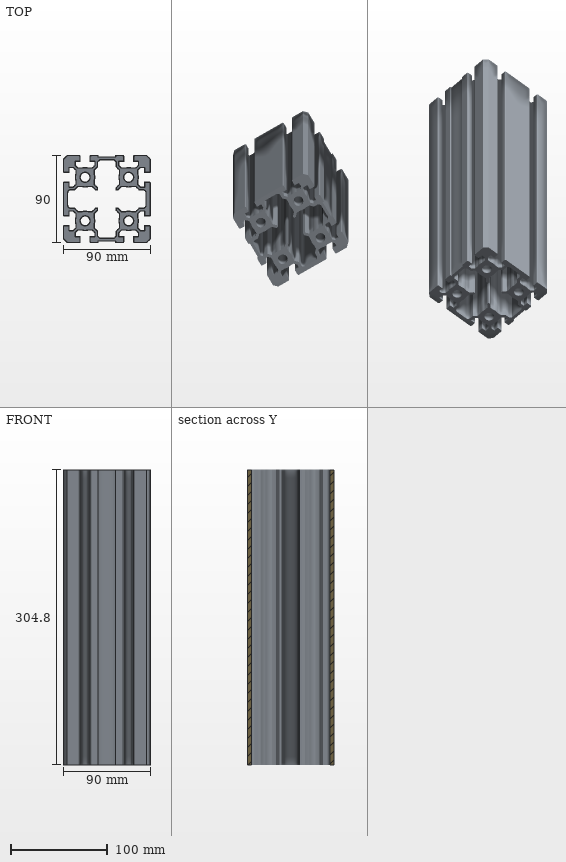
import cadquery as cq

length = 304.8
side = 90.0
corner_chamfer = 4.0

core_side = 19.2
core_bore_diameter = 10.0
bulge_width = 6.5
bulge_height = 0.45

slot_opening = 10.0
slot_mouth_radius = 1.2
lip_thickness = 6.0
slot_inner_width = 20.0
web_half_offset = 2.0

arm_width = 19.0
y_wall_thickness = 4.5
y_corner_chamfer = 2.0
x_wall_thickness = 4.5
x_corner_radius = 3.0

recess_width = 18.0
recess_depth = 1.5

half_side = side / 2
core_offset = side / 4
half_core = core_side / 2
core_signs = [(-1, -1), (-1, 1), (1, -1), (1, 1)]
core_centers = [(sx * core_offset, sy * core_offset) for sx, sy in core_signs]
side_angles = [0, 90, 180, 270]


def prism(points):
    """Full-length prism over a closed polygon."""
    return cq.Workplane("XY").polyline(points).close().extrude(length)


def mirrored_outline(right_points):
    """Close a right-hand outline with its mirror image about the Y axis."""
    left_points = [(-x, y) for x, y in reversed(right_points)]
    return right_points + left_points


def bar(size_x, size_y):
    """Full-length rectangular bar centered on the Z axis."""
    return cq.Workplane("XY").rect(size_x, size_y).extrude(length)


def t_slot():
    """T-slot entering the +Y side, centered on X = 0, with slanted floor corners."""
    half_opening = slot_opening / 2
    half_inner = slot_inner_width / 2
    lip_y = half_side - lip_thickness
    floor_y = core_offset + half_core
    return prism(
        mirrored_outline(
            [
                (half_opening, half_side),
                (half_opening, lip_y),
                (half_inner, lip_y),
                (half_inner, core_offset + half_inner + web_half_offset),
                (floor_y - core_offset - web_half_offset, floor_y),
            ]
        )
    )


def slot_mouth():
    """Flare that rounds both lips of a slot at the +Y side, centered on X = 0."""
    lip_center_x = slot_opening / 2 + slot_mouth_radius
    lip_center_y = half_side - slot_mouth_radius
    flare = bar(2 * lip_center_x, 2 * slot_mouth_radius).translate((0, half_side, 0))
    lip_rounds = (
        cq.Workplane("XY")
        .pushPoints([(-lip_center_x, lip_center_y), (lip_center_x, lip_center_y)])
        .circle(slot_mouth_radius)
        .extrude(length)
    )
    return flare.cut(lip_rounds)


def core_gap():
    """Widening of the +Y cavity arm between two neighboring cores."""
    half_arm = arm_width / 2
    gap_half_width = core_offset - half_core
    straight_half = half_core - web_half_offset
    slanted_half = straight_half + gap_half_width - half_arm
    return prism(
        mirrored_outline(
            [
                (half_arm, core_offset + slanted_half),
                (gap_half_width, core_offset + straight_half),
                (gap_half_width, core_offset - straight_half),
                (half_arm, core_offset - slanted_half),
            ]
        )
    )


def core_bulge():
    """Low rounded ridge on the +Y face of a core centered on the origin."""
    half_width = bulge_width / 2
    return (
        cq.Workplane("XY")
        .moveTo(-half_width, 0)
        .lineTo(-half_width, half_core)
        .threePointArc((0, half_core + bulge_height), (half_width, half_core))
        .lineTo(half_width, 0)
        .close()
        .extrude(length)
    )


def turned(shape, angle):
    """Turn a shape about the Z axis."""
    return shape.rotate((0, 0, 0), (0, 0, 1), angle)


body = bar(side, side).edges("|Z").chamfer(corner_chamfer)

y_arm = bar(arm_width, side - 2 * y_wall_thickness).edges("|Z").chamfer(y_corner_chamfer)
x_arm = bar(side - 2 * x_wall_thickness, arm_width).edges("|Z").fillet(x_corner_radius)
body = body.cut(y_arm).cut(x_arm)

for angle in side_angles:
    body = body.cut(turned(core_gap(), angle))
    for slot_x in (-core_offset, core_offset):
        for cutter in (t_slot(), slot_mouth()):
            body = body.cut(turned(cutter.translate((slot_x, 0, 0)), angle))

for x, y in core_centers:
    for angle in side_angles:
        body = body.union(turned(core_bulge(), angle).translate((x, y, 0)))

bores = cq.Workplane("XY").pushPoints(core_centers).circle(core_bore_diameter / 2).extrude(length)
body = body.cut(bores)

for recess_y in (-half_side, half_side):
    body = body.cut(bar(recess_width, 2 * recess_depth).translate((0, recess_y, 0)))

result = body